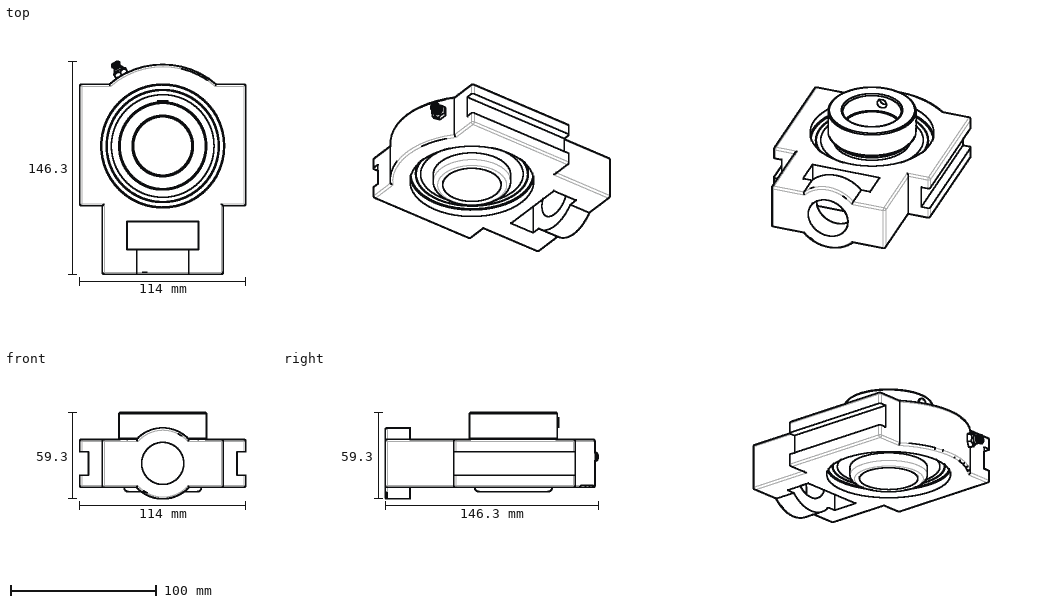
import cadquery as cq
import math


PLATE_WIDTH = 114.0
PLATE_HEIGHT = 33.0
PLATE_BACK = 42.4
PLATE_FRONT = -41.0
CROWN_RADIUS = 56.0
TONGUE_WIDTH = 83.0
TONGUE_FRONT = -88.0
EDGE_RADIUS = 1.5
PLATE_TOP = PLATE_HEIGHT / 2

GROOVE_DEPTH = 6.0
GROOVE_HEIGHT = 16.0

BOSS_DIAMETER = 48.8
SCREW_HOLE_DIAMETER = 29.0
SLOT_WIDTH = 49.0
SLOT_LENGTH = 19.0
BOSS_LENGTH = 17.1
SLOT_FRONT = TONGUE_FRONT + BOSS_LENGTH

RECESS_DIAMETER = 84.9
RECESS_CHAMFER = 0.6

SPHERE_RADIUS = 40.0
RING_HEIGHT = 21.0
RING_EDGE_CHAMFER = 0.5
RING_BORE = 67.0
RING_TOP = RING_HEIGHT / 2

SHIELD_DIAMETER = 70.5
SHIELD_THICKNESS = 1.5
SHIELD_RISE = 0.6

SHAFT_DIAMETER = 40.0
NECK_DIAMETER = 52.5
FOOT_DIAMETER = 53.2
FOOT_RADIUS = 2.9
INNER_RING_BOTTOM = -19.5
INNER_RING_TOP = 21.3
NECK_BOTTOM = 13.2
INNER_RING_CHAMFER = 0.6

COLLAR_DIAMETER = 60.3
COLLAR_TOP = 34.9
COLLAR_BOTTOM = 16.5
COLLAR_CHAMFER = 0.9
BORE_CHAMFER = 1.0

SET_SCREW_DIAMETER = 6.7
SET_SCREW_HEIGHT = 28.0
SET_SCREW_INNER_END = 24.8
SET_SCREW_OUTER_END = 31.1

NIPPLE_ANGLE = 120.0
NIPPLE_HEIGHT = 4.5
HEX_SIDES = 6
HEX_ACROSS_FLATS = 9.0
HEX_HEIGHT = 4.1
HEX_CHAMFER = 1.6
STEM_DIAMETER = 6.0
STUB_HEIGHT = 1.5
NIPPLE_NECK_DIAMETER = 4.7
NIPPLE_HEAD_DIAMETER = 6.0
NIPPLE_TIP_DIAMETER = 4.4
NECK_START = 6.1
NECK_END = 6.7
HEAD_START = 7.9
HEAD_END = 9.0
NIPPLE_LENGTH = 10.0
SHANK_LENGTH = 5.8
OIL_HOLE_DIAMETER = 2.5
OIL_HOLE_DEPTH = 1.2

TOLERANCE = 0.01


def cylinder(diameter, bottom, top):
    return cq.Workplane("XY").workplane(offset=bottom).circle(diameter / 2).extrude(top - bottom)


def nipple_plane():
    """Plane on the crown whose normal runs out along the nipple axis."""
    angle = math.radians(NIPPLE_ANGLE)
    outward = (math.cos(angle), math.sin(angle), 0)
    origin = (CROWN_RADIUS * outward[0], CROWN_RADIUS * outward[1], NIPPLE_HEIGHT)
    return cq.Plane(origin=origin, xDir=(0, 0, 1), normal=outward)


def is_rounded_edge(edge):
    """True for the outer edges of the plate, tongue and boss front, but not for the concave ones."""
    center = edge.Center()
    box = edge.BoundingBox()
    on_front = abs(box.ymin - TONGUE_FRONT) < TOLERANCE and box.ylen < TOLERANCE
    on_flat_side = box.zlen < TOLERANCE and abs(abs(center.z) - PLATE_TOP) < TOLERANCE
    beside_boss = abs(center.x) < BOSS_DIAMETER / 2 and center.y < PLATE_FRONT
    on_plate_corner = box.zlen > PLATE_HEIGHT / 2 and abs(abs(center.x) - PLATE_WIDTH / 2) < TOLERANCE
    return on_front or (on_flat_side and not beside_boss) or on_plate_corner


def housing_blank():
    plate_length = PLATE_BACK - PLATE_FRONT
    plate = cq.Workplane("XY").box(PLATE_WIDTH, plate_length, PLATE_HEIGHT)
    plate = plate.translate((0, PLATE_FRONT + plate_length / 2, 0))
    crown = cylinder(2 * CROWN_RADIUS, -PLATE_TOP, PLATE_TOP)
    behind_front = cq.Workplane("XY").box(PLATE_WIDTH, CROWN_RADIUS, PLATE_HEIGHT)
    crown = crown.intersect(behind_front.translate((0, CROWN_RADIUS / 2, 0)))
    tongue = cq.Workplane("XY").box(TONGUE_WIDTH, -TONGUE_FRONT, PLATE_HEIGHT)
    tongue = tongue.translate((0, TONGUE_FRONT / 2, 0))
    boss = cq.Workplane("XZ", origin=(0, TONGUE_FRONT, 0)).circle(BOSS_DIAMETER / 2).extrude(-BOSS_LENGTH)
    blank = plate.union(crown).union(tongue).union(boss).clean()
    rounded = [edge for edge in blank.edges().vals() if is_rounded_edge(edge)]
    return blank.newObject(rounded).fillet(EDGE_RADIUS)


def make_housing():
    body = housing_blank()
    groove_length = 2 * max(PLATE_BACK, -PLATE_FRONT)
    for side in (-1, 1):
        groove = cq.Workplane("XY").box(2 * GROOVE_DEPTH, groove_length, GROOVE_HEIGHT)
        body = body.cut(groove.translate((side * PLATE_WIDTH / 2, 0, 0)))
    slot = cq.Workplane("XY").box(SLOT_WIDTH, SLOT_LENGTH, BOSS_DIAMETER)
    body = body.cut(slot.translate((0, SLOT_FRONT + SLOT_LENGTH / 2, 0)))
    screw_hole = cq.Workplane("XZ", origin=(0, TONGUE_FRONT, 0)).circle(SCREW_HOLE_DIAMETER / 2)
    body = body.cut(screw_hole.extrude(-BOSS_LENGTH))
    recess = cylinder(RECESS_DIAMETER, RING_TOP, PLATE_TOP).faces("<Z").chamfer(RECESS_CHAMFER)
    body = body.cut(recess).cut(recess.mirror("XY"))
    body = body.cut(ball_zone())
    shank_hole = cq.Workplane(nipple_plane()).circle(STEM_DIAMETER / 2).extrude(-SHANK_LENGTH)
    return body.cut(shank_hole)


def ball_zone():
    """Spherical zone that fills the seat of the outer ring."""
    return cq.Workplane("XY").sphere(SPHERE_RADIUS).intersect(cylinder(RECESS_DIAMETER, -RING_TOP, RING_TOP))


def make_outer_ring():
    ring = ball_zone().faces("<Z or >Z").edges().chamfer(RING_EDGE_CHAMFER)
    ring = ring.cut(cylinder(RING_BORE, -RING_TOP, RING_TOP))
    shield_seat = cylinder(SHIELD_DIAMETER, RING_TOP - SHIELD_THICKNESS, RING_TOP)
    return ring.cut(shield_seat).cut(shield_seat.mirror("XY"))


def make_shield():
    """Upper shield: a ring whose outer face rises gently towards the shaft."""
    inner_radius = FOOT_DIAMETER / 2
    outer_radius = SHIELD_DIAMETER / 2
    inner_face = RING_TOP - SHIELD_THICKNESS
    return (
        cq.Workplane("XZ")
        .polyline([
            (inner_radius, inner_face),
            (outer_radius, inner_face),
            (outer_radius, RING_TOP),
            (inner_radius, RING_TOP + SHIELD_RISE),
        ])
        .close()
        .revolve(360, (0, 0, 0), (0, 1, 0))
    )


def make_inner_ring():
    foot = cylinder(FOOT_DIAMETER, INNER_RING_BOTTOM, NECK_BOTTOM).faces("<Z").edges().fillet(FOOT_RADIUS)
    neck = cylinder(NECK_DIAMETER, NECK_BOTTOM, INNER_RING_TOP)
    ring = foot.union(neck).cut(cylinder(SHAFT_DIAMETER, INNER_RING_BOTTOM, INNER_RING_TOP))
    return ring.faces(">Z").edges(cq.selectors.RadiusNthSelector(0)).chamfer(INNER_RING_CHAMFER)


def set_screw_cylinder(start, end):
    base = cq.Workplane("XZ", origin=(0, start, SET_SCREW_HEIGHT))
    return base.circle(SET_SCREW_DIAMETER / 2).extrude(start - end)


def make_collar():
    collar = cylinder(COLLAR_DIAMETER, COLLAR_BOTTOM, COLLAR_TOP).edges().chamfer(COLLAR_CHAMFER)
    collar = collar.cut(cylinder(SHAFT_DIAMETER, COLLAR_BOTTOM, COLLAR_TOP))
    collar = collar.edges(cq.selectors.RadiusNthSelector(0)).edges(">Z").chamfer(BORE_CHAMFER)
    collar = collar.cut(cylinder(NECK_DIAMETER, COLLAR_BOTTOM, INNER_RING_TOP))
    return collar.cut(set_screw_cylinder(0, COLLAR_DIAMETER))


def make_set_screw():
    return set_screw_cylinder(SET_SCREW_INNER_END, SET_SCREW_OUTER_END)


def make_grease_nipple():
    corner_diameter = HEX_ACROSS_FLATS / math.cos(math.pi / HEX_SIDES)
    hexagon = cq.Workplane("XY").polygon(HEX_SIDES, corner_diameter).extrude(HEX_HEIGHT)
    bevel = cylinder(corner_diameter, 0, HEX_HEIGHT).faces(">Z").chamfer(HEX_CHAMFER)
    hexagon = hexagon.intersect(bevel)
    stem = (
        cq.Workplane("XZ")
        .polyline([
            (0, -SHANK_LENGTH),
            (STEM_DIAMETER / 2, -SHANK_LENGTH),
            (STEM_DIAMETER / 2, HEX_HEIGHT + STUB_HEIGHT),
            (NIPPLE_NECK_DIAMETER / 2, NECK_START),
            (NIPPLE_NECK_DIAMETER / 2, NECK_END),
            (NIPPLE_HEAD_DIAMETER / 2, HEAD_START),
            (NIPPLE_HEAD_DIAMETER / 2, HEAD_END),
            (NIPPLE_TIP_DIAMETER / 2, NIPPLE_LENGTH),
            (OIL_HOLE_DIAMETER / 2, NIPPLE_LENGTH),
            (OIL_HOLE_DIAMETER / 2, NIPPLE_LENGTH - OIL_HOLE_DEPTH),
            (0, NIPPLE_LENGTH - OIL_HOLE_DEPTH),
        ])
        .close()
        .revolve(360, (0, 0, 0), (0, 1, 0))
    )
    nipple = hexagon.union(stem).val().moved(cq.Location(nipple_plane()))
    return cq.Workplane(nipple)


housing = make_housing()
outer_ring = make_outer_ring()
upper_shield = make_shield()
shields = [upper_shield, upper_shield.mirror("XY")]
inner_ring = make_inner_ring()
collar = make_collar()
set_screw = make_set_screw()
grease_nipple = make_grease_nipple()

result = cq.Compound.makeCompound([
    housing.val(),
    outer_ring.val(),
    *[shield.val() for shield in shields],
    inner_ring.val(),
    collar.val(),
    set_screw.val(),
    grease_nipple.val(),
])